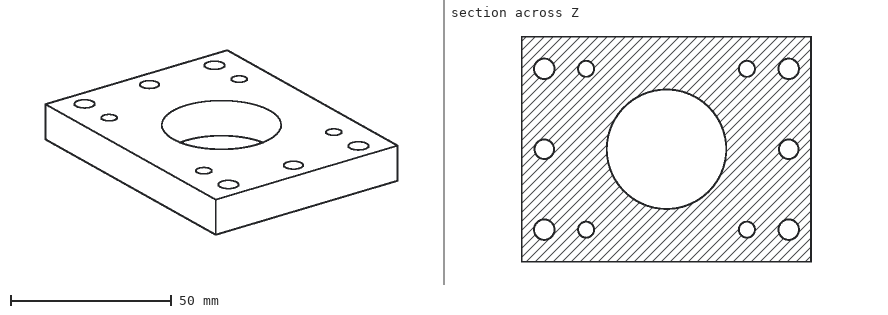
import cadquery as cq

length = 90.0
width = 70.0
thickness = 12.0

bore_diameter = 37.1

row_offset_y = 25.0
outer_column_x = 38.0
inner_column_x = 25.0

corner_hole_diameter = 6.3
middle_hole_diameter = 6.0
inner_hole_diameter = 4.92


def four_corners(x, y):
    """Points mirrored about both centre lines of the plate."""
    return [(sx * x, sy * y) for sx in (-1, 1) for sy in (-1, 1)]


def drill_through(plate, points, diameter):
    """Drill a through hole from the top face at each point."""
    return plate.faces(">Z").workplane(origin=(0, 0, 0)).pushPoints(points).hole(diameter)


middle_points = [(-outer_column_x, 0), (outer_column_x, 0)]

result = cq.Workplane("XY").box(length, width, thickness)
result = drill_through(result, [(0, 0)], bore_diameter)
result = drill_through(result, four_corners(outer_column_x, row_offset_y), corner_hole_diameter)
result = drill_through(result, middle_points, middle_hole_diameter)
result = drill_through(result, four_corners(inner_column_x, row_offset_y), inner_hole_diameter)